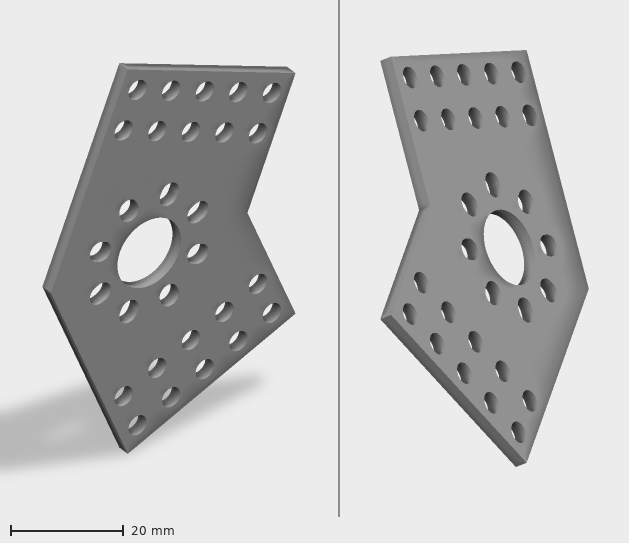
import cadquery as cq
import math

height = 81.8
thickness = 2.5
arm_width = 40.0
arm_tilt = 22.5
holes_per_row = 5
row_count = 2
hole_pitch = arm_width / holes_per_row
hole_diameter = 4.0
bore_diameter = 14.0
slot_count = 8
slot_circle_radius = 11.6
slot_width = hole_diameter
slot_length = 4.7

tilt = math.radians(arm_tilt)
arm_length = height / 2 / math.cos(tilt)
half_spine = arm_width / math.cos(tilt) / 2


def arm_point(across, along):
    """(Y, Z) on the upper arm, measured from the outer elbow at -Y."""
    y = -half_spine + across * math.cos(tilt) + along * math.sin(tilt)
    z = along * math.cos(tilt) - across * math.sin(tilt)
    return y, z


def mirrored(points):
    """The same points reflected onto the lower arm."""
    return [(y, -z) for y, z in points]


def cutter():
    """Workplane on the -X face, with local x and y along Y and Z."""
    return cq.Workplane("YZ", origin=(-thickness / 2, 0, 0))


elbow = (-half_spine, 0)
notch = (half_spine, 0)
upper_end = [arm_point(0, arm_length), arm_point(arm_width, arm_length)]
lower_end = mirrored(upper_end)[::-1]
plate = cutter().polyline([elbow, *upper_end, notch, *lower_end]).close().extrude(thickness)

upper_holes = [
    arm_point((column + 0.5) * hole_pitch, arm_length - (row + 0.5) * hole_pitch)
    for row in range(row_count)
    for column in range(holes_per_row)
]
hole_centres = upper_holes + mirrored(upper_holes)
arm_holes = cutter().pushPoints(hole_centres).circle(hole_diameter / 2).extrude(thickness)

bore = cutter().circle(bore_diameter / 2).extrude(thickness)
slot_step = 360 / slot_count
slots = (
    cutter()
    .polarArray(slot_circle_radius, slot_step / 2, 360, slot_count)
    .slot2D(slot_length, slot_width)
    .extrude(thickness)
)

result = plate.cut(arm_holes).cut(bore).cut(slots)